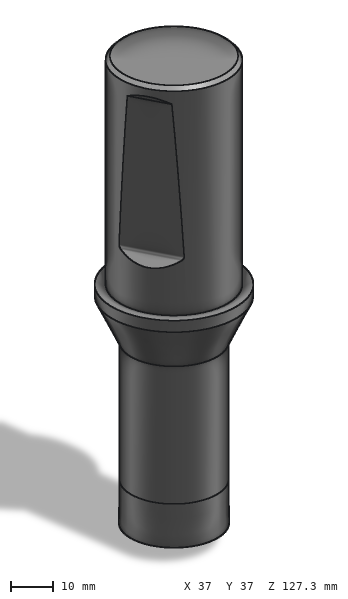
import cadquery as cq

overall_length = 127.3
shank_diameter = 32.0
collar_diameter = 37.0
neck_diameter = 25.6
tip_diameter = 25.8

tip_edge_height = 4.7
tip_top_height = 16.2
neck_top_height = 52.3
collar_bottom_height = 64.3
collar_top_height = 67.3
shank_chamfer = 1.0

flat_top_height = 122.8
flat_bottom_height = 82.1
flat_top_depth = 1.0
flat_bottom_depth = 2.3
upper_ramp_rise = 1.4
lower_ramp_drop = 2.8
flat_corner_radius = 1.7

shank_radius = shank_diameter / 2
collar_radius = collar_diameter / 2
neck_radius = neck_diameter / 2
tip_radius = tip_diameter / 2


def revolve_profile(points):
    """Revolve a closed (radius, height) outline around Z."""
    return cq.Workplane("XZ").polyline(points).close().revolve(360, (0, 0), (0, 1))


def make_flat_cutter():
    """Wedge that cuts the sloping flat, its two end ramps and the rounded lower corner."""
    surface_y = -shank_radius
    wedge = (
        cq.Workplane("YZ")
        .polyline([
            (surface_y, flat_bottom_height - lower_ramp_drop),
            (surface_y + flat_bottom_depth, flat_bottom_height),
            (surface_y + flat_top_depth, flat_top_height),
            (surface_y, flat_top_height + upper_ramp_rise),
        ])
        .close()
        .extrude(shank_radius, both=True)
    )
    return wedge.edges(">Y").fillet(flat_corner_radius)


def make_holder():
    """Shank, collar, cone and neck as one turned body with the clamping flat."""
    blank = revolve_profile([
        (0, tip_top_height),
        (neck_radius, tip_top_height),
        (neck_radius, neck_top_height),
        (collar_radius, collar_bottom_height),
        (collar_radius, collar_top_height),
        (shank_radius, collar_top_height),
        (shank_radius, overall_length - shank_chamfer),
        (shank_radius - shank_chamfer, overall_length),
        (0, overall_length),
    ])
    return blank.cut(make_flat_cutter())


def make_tip():
    """Pointed tip, widening slightly from the neck to its cutting edge."""
    return revolve_profile([
        (0, 0),
        (tip_radius, tip_edge_height),
        (neck_radius, tip_top_height),
        (0, tip_top_height),
    ])


holder = make_holder()
tip = make_tip()

result = cq.Compound.makeCompound([holder.val(), tip.val()])